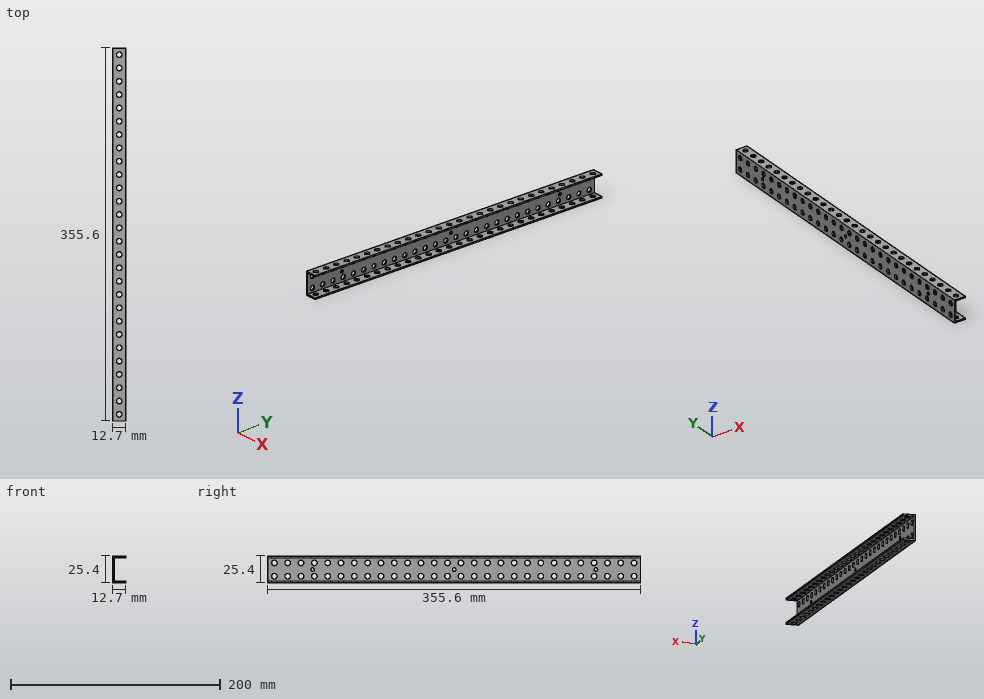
import cadquery as cq

hole_pitch = 12.7
hole_count = 28
width = hole_pitch
length = hole_count * hole_pitch
height = 2 * hole_pitch
wall = 1.6

hole_diameter = 5.105
small_hole_diameter = 3.2
small_hole_spacing = 135.0
small_hole_count = 3

web_outer_x = -width / 2


def make_channel():
    """U-shaped channel with a web on -X and flanges reaching toward +X."""
    envelope = cq.Workplane("XY").box(width, length, height)
    cavity = (
        cq.Workplane("XY")
        .box(width, length, height - 2 * wall)
        .translate((wall, 0, 0))
    )
    return envelope.cut(cavity)


def flange_holes():
    """One row of holes along the flange centreline, through both flanges."""
    return (
        cq.Workplane("XY", origin=(0, 0, -height / 2))
        .rarray(hole_pitch, hole_pitch, 1, hole_count)
        .circle(hole_diameter / 2)
        .extrude(height)
    )


def web_holes():
    """Two rows of holes through the web, half a pitch in from its edges."""
    return (
        cq.Workplane("YZ", origin=(web_outer_x, 0, 0))
        .rarray(hole_pitch, hole_pitch, hole_count, 2)
        .circle(hole_diameter / 2)
        .extrude(wall)
    )


def small_web_holes():
    """Small holes through the web, on its centreline."""
    return (
        cq.Workplane("YZ", origin=(web_outer_x, 0, 0))
        .rarray(small_hole_spacing, hole_pitch, small_hole_count, 1)
        .circle(small_hole_diameter / 2)
        .extrude(wall)
    )


result = (
    make_channel()
    .cut(flange_holes())
    .cut(web_holes())
    .cut(small_web_holes())
)